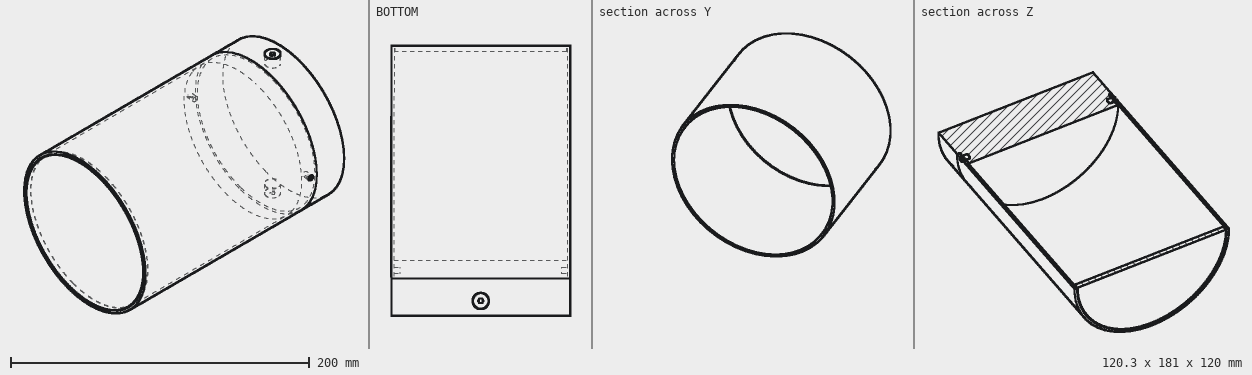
import cadquery as cq
import math

outer_radius = 60.0
total_length = 181.0
cap_length = 25.0
tube_length = total_length - cap_length
wall = 2.0
bore_radius = outer_radius - wall
joint_y = -cap_length

spigot_length = 12.0

gasket_width = 0.5
lens_radius = bore_radius - gasket_width
lens_thickness = 4.0
lens_back_y = -total_length + lens_thickness

cap_screw_radius = 5.25
cap_screw_clearance = 0.25
cap_hole_radius = cap_screw_radius + cap_screw_clearance
cap_screw_length = 8.0
cap_screw_y = -10.0
cap_screw_socket = 3.0
cap_screw_socket_depth = 3.0

set_screw_radius = 2.0
set_screw_length = 6.0
set_screw_y = joint_y - 5.5
set_screw_proud = 0.135
set_screw_end = outer_radius + set_screw_proud
set_screw_chamfer = 0.3
set_screw_socket = 2.0
set_screw_socket_depth = 2.0

up_and_down = (cq.Vector(0, 0, 1), cq.Vector(0, 0, -1))
both_sides = (cq.Vector(1, 0, 0), cq.Vector(-1, 0, 0))


def cross_section(y):
    """Sketch plane across the main axis at y; extruding goes toward the front."""
    return cq.Workplane("XZ", origin=(0, y, 0))


def screw_end_plane(direction, y, end_distance):
    """Sketch plane on the outer end of a radial screw, facing outward."""
    end = direction * end_distance + cq.Vector(0, y, 0)
    across = direction.cross(cq.Vector(0, 1, 0))
    return cq.Workplane(cq.Plane(origin=end, xDir=across, normal=direction))


def shank(end_plane, radius, length):
    """Plain cylinder running inward from the outer end of a screw."""
    return end_plane.circle(radius).extrude(-length)


def hex_socket(end_plane, across_flats, depth):
    """Cutter for a hexagonal recess in the outer end of a screw."""
    across_corners = across_flats / math.cos(math.pi / 6)
    return end_plane.polygon(6, across_corners).extrude(-depth)


def make_cap_screw(direction):
    """Flat-ended screw with a hexagonal socket."""
    end_plane = screw_end_plane(direction, cap_screw_y, outer_radius)
    screw = shank(end_plane, cap_screw_radius, cap_screw_length)
    return screw.cut(hex_socket(end_plane, cap_screw_socket, cap_screw_socket_depth))


def make_set_screw(direction):
    """Headless screw with a chamfered outer end and a hexagonal socket."""
    end_plane = screw_end_plane(direction, set_screw_y, set_screw_end)
    screw = shank(end_plane, set_screw_radius, set_screw_length)
    screw = screw.faces(cq.selectors.DirectionMinMaxSelector(direction)).edges().chamfer(set_screw_chamfer)
    return screw.cut(hex_socket(end_plane, set_screw_socket, set_screw_socket_depth))


def cut_set_screw_holes(body):
    """Cut the side holes that hold the set screws."""
    for direction in both_sides:
        end_plane = screw_end_plane(direction, set_screw_y, set_screw_end)
        body = body.cut(shank(end_plane, set_screw_radius, set_screw_length))
    return body


def make_cap():
    """Closed back with a spigot, clearance holes for the cap screws and seats for the set screws."""
    cap = cross_section(0).circle(outer_radius).extrude(cap_length)
    cap = cap.union(cross_section(joint_y).circle(bore_radius).extrude(spigot_length))
    for direction in up_and_down:
        end_plane = screw_end_plane(direction, cap_screw_y, outer_radius)
        cap = cap.cut(shank(end_plane, cap_hole_radius, cap_screw_length))
    return cut_set_screw_holes(cap)


def make_tube():
    """Thin round housing between the cap and the front."""
    tube = cross_section(joint_y).circle(outer_radius).circle(bore_radius).extrude(tube_length)
    return cut_set_screw_holes(tube)


def make_gasket():
    """Thin ring filling the space between the tube and the lens."""
    return cross_section(lens_back_y).circle(bore_radius).circle(lens_radius).extrude(lens_thickness)


def make_lens():
    """Flat round disc closing the front."""
    return cross_section(lens_back_y).circle(lens_radius).extrude(lens_thickness)


cap = make_cap()
tube = make_tube()
gasket = make_gasket()
lens = make_lens()
cap_screws = [make_cap_screw(direction) for direction in up_and_down]
set_screws = [make_set_screw(direction) for direction in both_sides]

result = cq.Compound.makeCompound(
    [
        cap.val(),
        tube.val(),
        gasket.val(),
        lens.val(),
        *[screw.val() for screw in cap_screws],
        *[screw.val() for screw in set_screws],
    ]
)